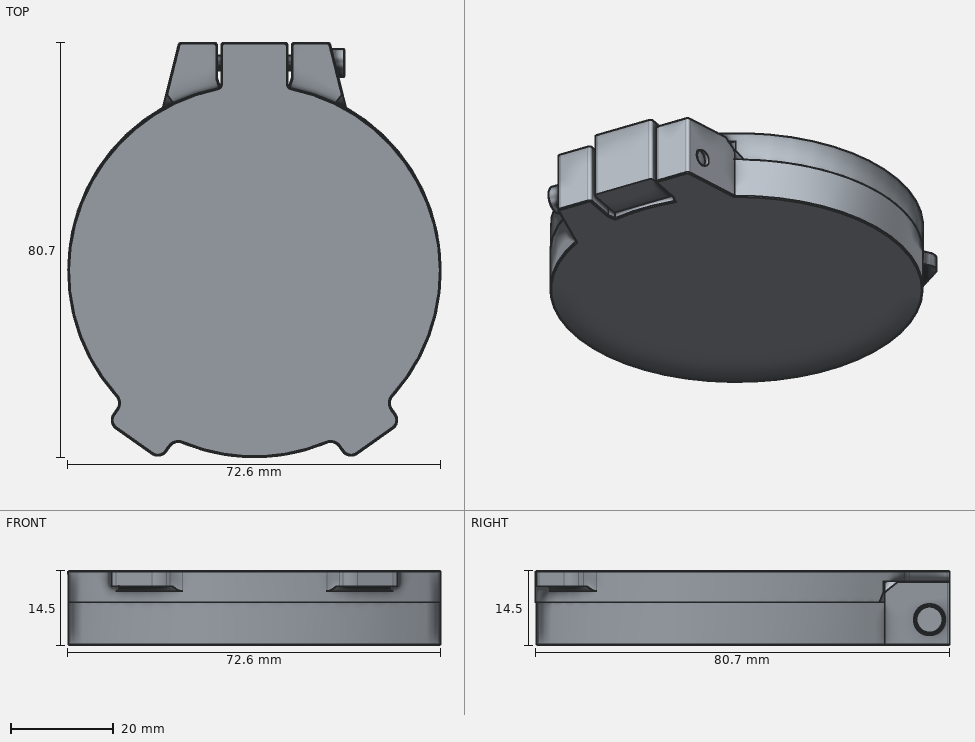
import cadquery as cq
import math

TOTAL_HEIGHT = 14.5
SEAM_Z = 8.4
EDGE_BREAK = 0.25

BASE_DIAMETER = 72.6
BASE_RADIUS = BASE_DIAMETER / 2
LID_RADIUS = BASE_RADIUS
LID_OFFSET_Y = -0.2

TAB_ANGLE = 35.3
TAB_REACH = 40.6
TAB_WIDTH = 12.6
TAB_THICKNESS = 3.0
TAB_GUSSET = 1.0
TAB_CORNER_RADIUS = 2.0
TAB_ROOT_RADIUS = 2.0

HINGE_BACK_Y = 44.2
HINGE_CORNER_RADIUS = 0.65
KNUCKLE_WIDTH = 13.0
KNUCKLE_ROOT_RADIUS = 1.0
SIDE_GAP = 0.7
EAR_HEIGHT = 12.5
EAR_FRONT_Y = 31.6
EAR_BACK_X = 14.7
EAR_FRONT_X = 17.85
EAR_CORNER_RADIUS = 0.65
EAR_ROOT_X = 6.7
EAR_ROOT_BACK_Y = 37.3
EAR_ROOT_FRONT_Y = 35.7
EAR_BEVEL_ANGLE = 37.0
EAR_BEVEL_X = 17.0
EAR_BEVEL_Y = 34.15
EAR_INNER_X = KNUCKLE_WIDTH / 2 + SIDE_GAP

CLEARANCE = 0.25
POCKET_RELIEF_DEPTH = 0.8
POCKET_RELIEF_HEIGHT = 1.9

SCREW_Z = 5.0
SCREW_INSET = 3.95
SCREW_Y = HINGE_BACK_Y - SCREW_INSET
SCREW_DIAMETER = 3.0
SCREW_HOLE_DIAMETER = 3.4
HEAD_DIAMETER = 5.5
HEAD_HEIGHT = 3.0
HEAD_END_X = 17.6
HEAD_RECESS_DIAMETER = 6.1
HEAD_SEAT_X = HEAD_END_X - HEAD_HEIGHT
SCREW_TIP_X = -15.3

KNUCKLE_FRONT_Y = BASE_RADIUS
KNUCKLE_BOTTOM_Z = SCREW_Z - SCREW_INSET
TAB_BOTTOM_Z = TOTAL_HEIGHT - TAB_THICKNESS
ROOT_TOLERANCE = 0.01


def block(x_min, x_max, y_min, y_max, z_min, z_max):
    """Box given by its limits."""
    size = (x_max - x_min, y_max - y_min, z_max - z_min)
    return cq.Workplane("XY").box(*size, centered=False).translate((x_min, y_min, z_min))


def disc(bottom_radius, top_radius, z_min, z_max):
    """Straight or tapered disc about the Z axis."""
    profile = [(0, z_min), (bottom_radius, z_min), (top_radius, z_max), (0, z_max)]
    return cq.Workplane("XZ").polyline(profile).close().revolve(360, (0, 0, 0), (0, 1, 0))


def rod_x(diameter, x_min, x_max):
    """Cylinder along the hinge axis."""
    rod = cq.Workplane("YZ").circle(diameter / 2).extrude(x_max - x_min)
    return rod.translate((x_min, SCREW_Y, SCREW_Z))


def mirrored_pair(shape):
    """A shape joined to its mirror image across X = 0."""
    return shape.union(shape.mirror("YZ"))


def disc_with_arm(width, reach, corner_radius, root_radius, z_min, z_max):
    """Lid disc with one arm along +Y, rounded at its tips and where it leaves the disc."""
    arm = block(-width / 2, width / 2, 0, reach, z_min, z_max)
    arm = arm.edges("|Z and >Y").fillet(corner_radius)
    plate = disc(LID_RADIUS, LID_RADIUS, z_min, z_max).union(arm)
    root_y = math.sqrt(LID_RADIUS**2 - (width / 2) ** 2)
    roots = plate.edges("|Z").filter(lambda edge: abs(edge.Center().y - root_y) < ROOT_TOLERANCE)
    return plate.newObject(roots.vals()).fillet(root_radius)


def tab_layer(z_min, z_max):
    """One finger tab, with the disc it grows from, between two heights."""
    return disc_with_arm(TAB_WIDTH, TAB_REACH, TAB_CORNER_RADIUS, TAB_ROOT_RADIUS, z_min, z_max)


def finger_tab(angle):
    """Tab plate and the sloping gusset under it, turned from +Y by an angle."""
    gusset_z = TAB_BOTTOM_Z - TAB_GUSSET
    flare = disc(LID_RADIUS, LID_RADIUS + TAB_GUSSET, gusset_z, TAB_BOTTOM_Z)
    gusset = tab_layer(gusset_z, TAB_BOTTOM_Z).intersect(flare)
    tab = tab_layer(TAB_BOTTOM_Z, TOTAL_HEIGHT).union(gusset)
    return tab.rotate((0, 0, 0), (0, 0, 1), angle)


def hinge_plate():
    """Full-height lid disc with the arm that carries the knuckle."""
    reach = HINGE_BACK_Y - LID_OFFSET_Y
    return disc_with_arm(
        KNUCKLE_WIDTH, reach, HINGE_CORNER_RADIUS, KNUCKLE_ROOT_RADIUS, SEAM_Z, TOTAL_HEIGHT
    )


def knuckle():
    """Block hanging from the lid arm behind the base, around the screw."""
    half_width = KNUCKLE_WIDTH / 2
    body = block(-half_width, half_width, KNUCKLE_FRONT_Y, HINGE_BACK_Y, KNUCKLE_BOTTOM_Z, SEAM_Z)
    return body.edges("|Z and >Y").fillet(HINGE_CORNER_RADIUS)


def ear_pockets():
    """Space under the lid for the two ears, with a relieved lower front edge."""
    front_y = EAR_FRONT_Y - CLEARANCE
    side_profile = [
        (front_y - POCKET_RELIEF_DEPTH, SEAM_Z),
        (HINGE_BACK_Y, SEAM_Z),
        (HINGE_BACK_Y, EAR_HEIGHT),
        (front_y, EAR_HEIGHT),
        (front_y, SEAM_Z + POCKET_RELIEF_HEIGHT),
    ]
    inner_x = KNUCKLE_WIDTH / 2
    pocket = cq.Workplane("YZ").polyline(side_profile).close().extrude(LID_RADIUS - inner_x)
    pocket = pocket.translate((inner_x, 0, 0))
    return mirrored_pair(pocket)


def make_lid():
    lid = hinge_plate()
    for angle in (180 - TAB_ANGLE, 180 + TAB_ANGLE):
        lid = lid.union(finger_tab(angle))
    lid = lid.faces(">Z").edges().chamfer(EDGE_BREAK)
    lid = lid.translate((0, LID_OFFSET_Y, 0))
    lid = lid.cut(ear_pockets()).union(knuckle())
    return lid.cut(rod_x(SCREW_HOLE_DIAMETER, -KNUCKLE_WIDTH / 2, KNUCKLE_WIDTH / 2))


def ear():
    """Right-hand ear, reaching forward into the base disc."""
    outline = [
        (EAR_ROOT_X, EAR_FRONT_Y),
        (EAR_FRONT_X, EAR_FRONT_Y),
        (EAR_BACK_X, HINGE_BACK_Y),
        (EAR_INNER_X, HINGE_BACK_Y),
        (EAR_INNER_X, EAR_ROOT_BACK_Y),
        (EAR_ROOT_X, EAR_ROOT_FRONT_Y),
    ]
    body = cq.Workplane("XY").polyline(outline).close().extrude(EAR_HEIGHT)
    body = body.edges("|Z and >Y").fillet(EAR_CORNER_RADIUS)
    body = body.faces(">Z").edges().chamfer(EDGE_BREAK)

    drop = EAR_HEIGHT - SEAM_Z
    wedge = (
        cq.Workplane("XZ")
        .polyline([(0, EAR_HEIGHT), (drop, EAR_HEIGHT), (drop, SEAM_Z)])
        .close()
        .extrude(drop, both=True)
        .rotate((0, 0, 0), (0, 0, 1), -EAR_BEVEL_ANGLE)
        .translate((EAR_BEVEL_X, EAR_BEVEL_Y, 0))
    )
    return body.cut(wedge)


def make_base():
    base = disc(BASE_RADIUS, BASE_RADIUS, 0, SEAM_Z)
    base = base.union(mirrored_pair(ear()))
    base = base.faces("<Z").edges().chamfer(EDGE_BREAK)
    base = base.cut(rod_x(SCREW_HOLE_DIAMETER, -EAR_FRONT_X, EAR_FRONT_X))
    return base.cut(rod_x(HEAD_RECESS_DIAMETER, HEAD_SEAT_X, EAR_FRONT_X))


def make_screw():
    head = rod_x(HEAD_DIAMETER, HEAD_SEAT_X, HEAD_END_X)
    head = head.faces(">X").edges().chamfer(EDGE_BREAK)
    return head.union(rod_x(SCREW_DIAMETER, SCREW_TIP_X, HEAD_SEAT_X))


lid = make_lid()
base = make_base()
screw = make_screw()
result = cq.Compound.makeCompound([lid.solids().val(), base.solids().val(), screw.solids().val()])